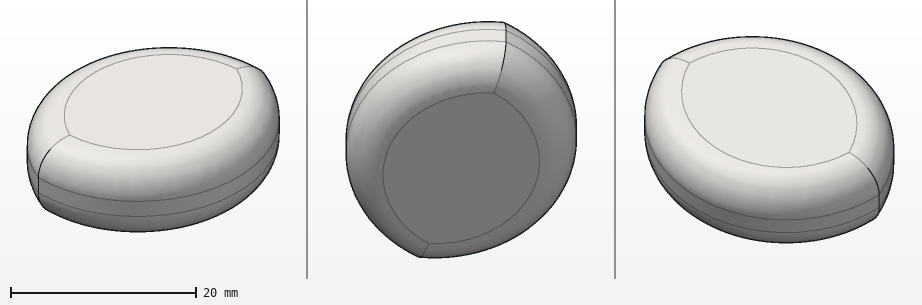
import math

import cadquery as cq

length = 30.0
center_offset = 3.0
thickness = 10.0
edge_radius = 4.0

half_length = length / 2
arc_radius = math.hypot(half_length, center_offset)
half_width = arc_radius - center_offset


def lens_body():
    """Plate whose outline is two equal arcs meeting at pointed ends on the Y axis."""
    return (
        cq.Workplane("XY")
        .moveTo(0, -half_length)
        .threePointArc((half_width, 0), (0, half_length))
        .threePointArc((-half_width, 0), (0, -half_length))
        .close()
        .extrude(thickness)
    )


def round_rims(body):
    """Round both rims, leaving a narrow upright band around the middle."""
    return body.faces("<Z or >Z").edges().fillet(edge_radius)


result = round_rims(lens_body())